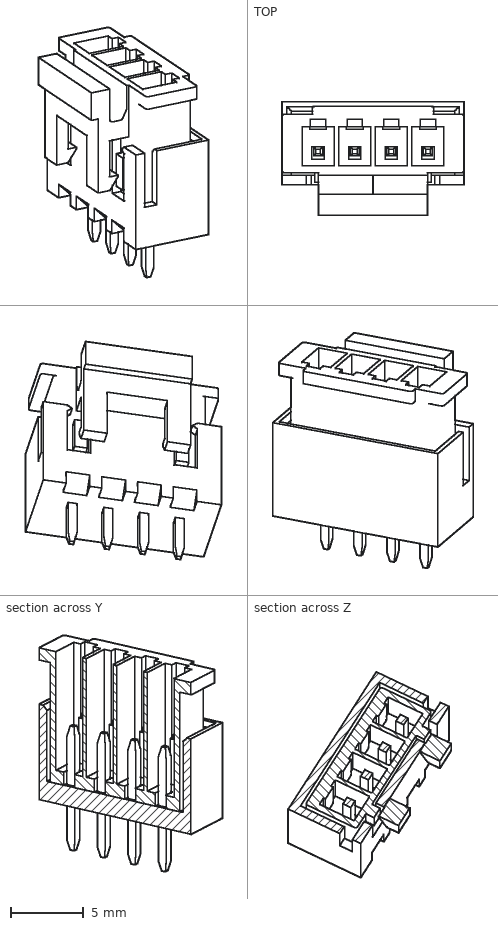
import cadquery as cq
import math

EPS = 0.15

pin_count = 4
pitch = 2.5
pin_places = [(i - (pin_count - 1) / 2) * pitch for i in range(pin_count)]
overall_width = 12.5
overall_height = 14.4
overall_depth = 7.79

header_height = 6.98
header_back = 3.4
header_depth = 5.7
header_front = header_back - header_depth
header_floor = 1.5
cavity_half_width = 5.59
cavity_back = 2.75
cavity_front = -1.63
lead_in = 0.32

slot_floor = 3.0
side_slot_back = -0.66
tongue_half_width = 2.92
opening_half_width = 4.56
barb_reach = 0.35
barb_half_height = 0.26

notch_width = 1.65
notch_height = 1.01
notch_shift = -0.06

pin_width = 0.63
pin_tip_width = 0.32
pin_taper = 0.72
pin_below = 3.3
pin_top = 5.76

plug_top = overall_height - pin_below
plug_bottom = header_floor
plug_back = 2.55
plug_front = -1.47
plug_half_width = 5.34
corner_radius = 0.2
flange_height = 0.92
key_half_width = 4.15
key_back = 3.1
key_radius = 0.15

pad_inner = 3.11
pad_outer = 4.0
pad_front = -2.1
pad_bottom = 3.55
pad_top = 5.95

cell_width = 2.17
cell_back = 1.68
cell_front = -1.0
cell_floor = 2.45
lance_width = 1.05
lance_back = 2.19
ledge_top = 5.76
ledge_width = 1.14
ledge_depth = 0.16
window_size = 0.85
window_back = pin_width / 2

latch_half_width = 3.75
latch_root = -1.63
bridge_bottom = 7.29
bridge_top = 8.64
slope_foot = -2.0
slope_angle = 63.0
root_fillet = 0.25
leg_inner = -2.95
leg_outer = -3.87
leg_bottom = 3.61
leg_half_gap = 2.12
grip_front = header_back - overall_depth
grip_bottom = 9.07
hook_top = 4.62
hook_lip_height = 0.1
groove_width = 0.06
groove_depth = 0.2
groove_back = -1.74


def block(x_range, y_range, z_range):
    """Box from its lower and upper limits along each axis."""
    (x0, x1), (y0, y1), (z0, z1) = x_range, y_range, z_range
    return cq.Workplane("XY").box(x1 - x0, y1 - y0, z1 - z0, centered=False).translate((x0, y0, z0))


def centred(width, x=0.0):
    """X limits of a feature of the given width centred on x."""
    return (x - width / 2, x + width / 2)


def side_profile(points, x_range):
    """Prism along X from an outline of (y, z) points."""
    x0, x1 = x_range
    return cq.Workplane("YZ").polyline(points).close().extrude(x1 - x0).translate((x0, 0, 0))


def both_sides(shape):
    """The shape together with its mirror image across X = 0."""
    return shape.union(shape.mirror("YZ"))


def pin(x):
    """Square pin tapered at both ends."""
    bottom = -pin_below + pin_taper
    top = pin_top - pin_taper
    half = pin_width / 2
    shank = block(centred(pin_width, x), (-half, half), (bottom, top))
    for z, rise in [(bottom, -pin_taper), (top, pin_taper)]:
        taper = (
            cq.Workplane("XY", origin=(x, 0, z))
            .rect(pin_width, pin_width)
            .workplane(offset=rise)
            .rect(pin_tip_width, pin_tip_width)
            .loft(ruled=True)
        )
        shank = shank.union(taper)
    return shank


def cavity_outline(half_width, back):
    """Corners of a rectangle that starts at the front wall of the cavity."""
    return [
        (-half_width, cavity_front),
        (half_width, cavity_front),
        (half_width, back),
        (-half_width, back),
    ]


def cavity():
    """Plug cavity, with a 45 degree lead-in along the back and the sides of its mouth."""
    pocket = block(
        centred(2 * cavity_half_width),
        (cavity_front, cavity_back),
        (header_floor, header_height),
    )
    mouth_half_width = cavity_half_width + lead_in
    mouth_back = cavity_back + lead_in
    mouth = (
        cq.Workplane("XY", origin=(0, 0, header_height - lead_in))
        .polyline(cavity_outline(cavity_half_width, cavity_back))
        .close()
        .workplane(offset=lead_in)
        .polyline(cavity_outline(mouth_half_width, mouth_back))
        .close()
        .loft(ruled=True)
    )
    return pocket.union(mouth)


def side_slots():
    """Slots down both end walls, flush with the front wall."""
    return block(
        centred(overall_width + 2 * EPS),
        (cavity_front, side_slot_back),
        (slot_floor, header_height + EPS),
    )


def front_opening():
    """Opening beside the centre tongue, narrowed at its mouth by a pointed barb."""
    barb_z = header_height - barb_half_height
    outline = [
        (tongue_half_width, slot_floor),
        (opening_half_width, slot_floor),
        (opening_half_width, barb_z - barb_half_height),
        (opening_half_width - barb_reach, barb_z),
        (opening_half_width, header_height),
        (tongue_half_width, header_height),
    ]
    depth = cavity_front - header_front
    return cq.Workplane("XZ", origin=(0, cavity_front, 0)).polyline(outline).close().extrude(depth)


def notch(x):
    """45 degree wedge cut into the lower front edge below a pin."""
    outline = [
        (header_front, 0),
        (header_front + notch_height, 0),
        (header_front, notch_height),
    ]
    return side_profile(outline, centred(notch_width, x + notch_shift))


def make_header():
    """Open-topped header housing and the pins moulded into it, as one solid."""
    body = block(centred(overall_width), (header_front, header_back), (0, header_height))
    body = body.cut(cavity()).cut(side_slots()).cut(both_sides(front_opening()))
    for x in pin_places:
        body = body.cut(notch(x)).union(pin(x))
    return body


def plug_shell():
    """Plug block with its top flange, rear key and front guide pads."""
    depth_range = (plug_front, plug_back)
    flange_range = (plug_top - flange_height, plug_top)
    body = block(centred(2 * plug_half_width), depth_range, (plug_bottom, plug_top))
    body = body.edges("|Z").fillet(corner_radius)
    flange = block(centred(overall_width), depth_range, flange_range).edges("|Z").fillet(corner_radius)
    key = block(centred(2 * key_half_width), (cell_back, key_back), flange_range)
    key = key.edges("|Z and >Y").fillet(key_radius)
    pad = block((pad_inner, pad_outer), (pad_front, plug_front), (pad_bottom, pad_top))
    return body.union(flange).union(key).union(both_sides(pad))


def cell(x):
    """Contact cell: main pocket, lance slot ending in a 45 degree ramp, and pin window."""
    pocket = block(centred(cell_width, x), (cell_front, cell_back), (cell_floor, plug_top))
    ledge = block(
        centred(ledge_width, x),
        (cell_back - ledge_depth, cell_back),
        (cell_floor, ledge_top),
    )
    ramp_rise = lance_back - cell_back
    lance_outline = [
        (cell_back, ledge_top),
        (lance_back, ledge_top + ramp_rise),
        (lance_back, plug_top),
        (cell_back, plug_top),
    ]
    lance_slot = side_profile(lance_outline, centred(lance_width, x))
    window = block(
        centred(window_size, x),
        (window_back - window_size, window_back),
        (plug_bottom, cell_floor),
    )
    return pocket.cut(ledge).union(lance_slot).union(window)


def latch():
    """Rocking latch: bridge from the plug, grip above, two hooked legs below."""
    slope_rise = (latch_root - slope_foot) * math.tan(math.radians(slope_angle))
    hook_lip = hook_top - hook_lip_height
    outline = [
        (plug_front, bridge_bottom),
        (leg_inner, bridge_bottom),
        (leg_inner, hook_top),
        (header_front, hook_top),
        (header_front, hook_lip),
        (leg_inner, leg_bottom),
        (leg_outer, leg_bottom),
        (leg_outer, grip_bottom),
        (grip_front, grip_bottom),
        (grip_front, plug_top),
        (leg_inner, plug_top),
        (leg_inner, bridge_top),
        (slope_foot, bridge_top),
        (latch_root, bridge_top + slope_rise),
        (latch_root, plug_top),
        (plug_front, plug_top),
    ]
    body = side_profile(outline, centred(2 * latch_half_width))
    rounded_corners = [
        (leg_inner, bridge_top),
        (slope_foot, bridge_top),
        (latch_root, bridge_top + slope_rise),
    ]
    for y, z in rounded_corners:
        body = body.edges(cq.NearestToPointSelector((0, y, z))).fillet(root_fillet)
    leg_gap = block(
        centred(2 * leg_half_gap),
        (leg_outer, header_front),
        (leg_bottom, bridge_bottom),
    )
    groove = block(
        centred(groove_width),
        (leg_inner, groove_back),
        (bridge_top - groove_depth, grip_bottom + EPS),
    )
    return body.cut(leg_gap).cut(groove)


def make_plug():
    """Plug housing with its latch, as one solid."""
    body = plug_shell().union(latch())
    for x in pin_places:
        body = body.cut(cell(x))
    return body


header = make_header()
plug = make_plug()
result = cq.Compound.makeCompound([header.solids().val(), plug.solids().val()])